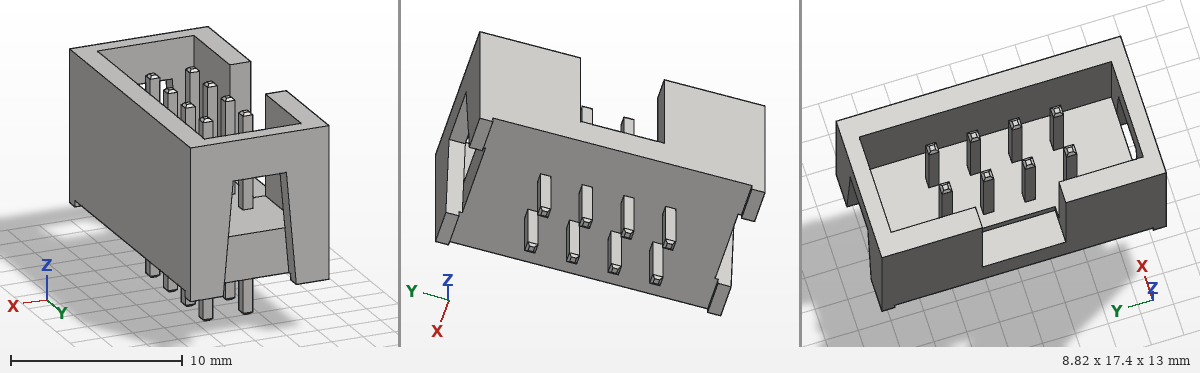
import cadquery as cq


housing_width = 8.82
housing_length = 17.37
total_height = 12.98
housing_height = 9.6
housing_bottom = total_height - housing_height

side_wall = 1.34
end_wall = 0.99
cavity_depth = 6.35
foot_height = 0.4
foot_length = 0.8
floor_top = total_height - cavity_depth
floor_bottom = housing_bottom + foot_height

window_lintel = 2.5
window_top = total_height - window_lintel
window_top_width = 3.39
window_bottom_width = 4.65

notch_length = 5.09
notch_reach = 2.05
notch_depth = 7.03

pin_rows = 2
pins_per_row = 4
pin_pitch = 2.54
pin_width = 0.63
pin_tip_chamfer = 0.15
pin_recess = 0.35
pin_length = total_height - pin_recess


def block(size_x, size_y, bottom, top):
    """Box centred on the Z axis between two heights."""
    return (
        cq.Workplane("XY")
        .workplane(offset=bottom)
        .rect(size_x, size_y)
        .extrude(top - bottom)
    )


def make_window():
    """Trapezoidal prism through the full length, wider at the bottom."""
    return (
        cq.Workplane("XZ")
        .polyline([
            (-window_bottom_width / 2, housing_bottom),
            (window_bottom_width / 2, housing_bottom),
            (window_top_width / 2, window_top),
            (-window_top_width / 2, window_top),
        ])
        .close()
        .extrude(housing_length / 2, both=True)
    )


def make_housing():
    """Open-topped box with end feet, end windows and the side notch."""
    cavity_width = housing_width - 2 * side_wall
    cavity_length = housing_length - 2 * end_wall
    foot_spacing = housing_length - 2 * foot_length

    shell = block(housing_width, housing_length, housing_bottom, total_height)
    cavity = block(cavity_width, cavity_length, floor_top, total_height)
    foot_gap = block(housing_width, foot_spacing, housing_bottom, floor_bottom)

    floor_core = block(housing_width, cavity_length, floor_bottom, floor_top)
    windows = make_window().cut(floor_core)

    notch = block(notch_reach, notch_length, total_height - notch_depth, total_height)
    notch = notch.translate(((notch_reach - housing_width) / 2, 0, 0))

    return shell.cut(cavity).cut(foot_gap).cut(windows).cut(notch)


def make_pins():
    """Grid of square pins, bevelled at both tips."""
    pin = block(pin_width, pin_width, 0, pin_length)
    pin = pin.faces("<Z or >Z").chamfer(pin_tip_chamfer)
    return (
        cq.Workplane("XY")
        .rarray(pin_pitch, pin_pitch, pin_rows, pins_per_row)
        .eachpoint(pin.val(), combine=True)
    )


result = make_housing().union(make_pins())